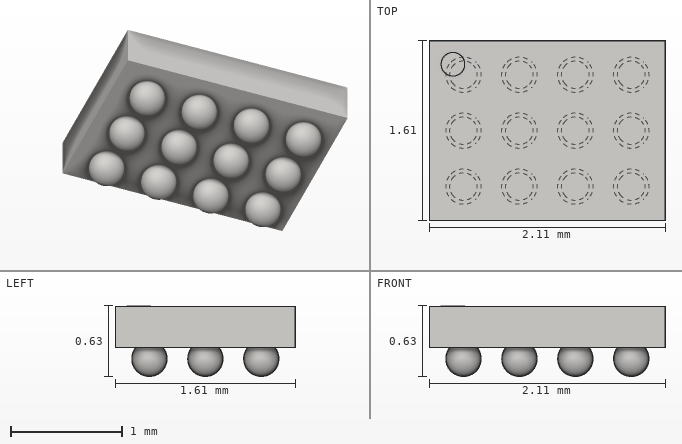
import cadquery as cq

body_length = 2.11
body_width = 1.61
body_height = 0.37

ball_columns = 4
ball_rows = 3
ball_pitch = 0.5
ball_diameter = 0.316
ball_drop = 0.257
ball_radius = ball_diameter / 2
ball_center_z = ball_radius - ball_drop

mark_diameter = 0.21
mark_inset = 0.21
mark_height = 0.005


def make_body():
    """Flat block with its underside at Z = 0."""
    return cq.Workplane("XY").box(
        body_length, body_width, body_height, centered=(True, True, False)
    )


def make_balls():
    """Grid of full spheres centred under the body."""
    return (
        cq.Workplane("XY", origin=(0, 0, ball_center_z))
        .rarray(ball_pitch, ball_pitch, ball_columns, ball_rows)
        .sphere(ball_radius)
    )


def make_mark():
    """Disc near the -X, +Y corner of the top face."""
    return (
        cq.Workplane("XY", origin=(0, 0, body_height))
        .center(mark_inset - body_length / 2, body_width / 2 - mark_inset)
        .circle(mark_diameter / 2)
        .extrude(mark_height)
    )


result = make_body().union(make_balls()).union(make_mark())